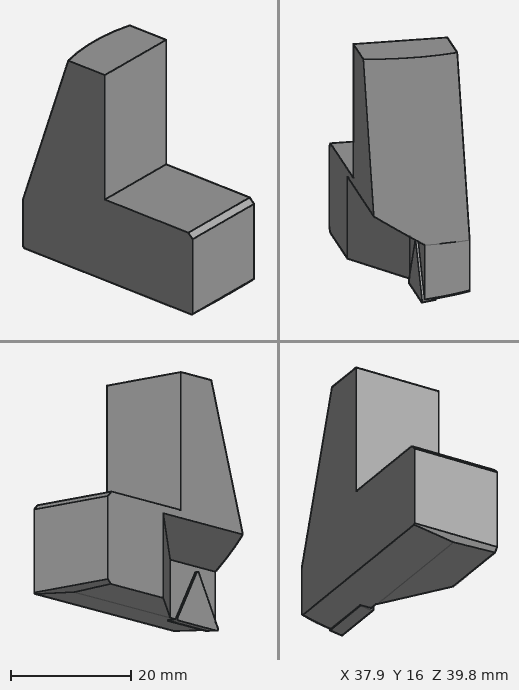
import cadquery as cq
import math

length = 37.85
depth = 16.0
height = 39.8
mid_y = depth / 2
post_back_x = 18.85
foot_top_z = 16.25
end_chamfer = 0.9

nose_x = 0.15
nose_bow = 1.0
bend_z = 10.15
lean_run = 9.8

ridge_z = 0.25
front_bottom_z = 0.95
rear_bottom_z = 0.45
corner_chamfer = 0.3

corner_spacing = 9.9
corner_radius = 0.3
insert_thickness = 2.4
insert_draft = 7.0
insert_rear_y = 8.35

gullet_floor_y = 7.92
gullet_floor_length = 11.95
gullet_wall_angle = 35.0
gullet_roof_rear_z = 14.9

clearance = 2.0


def make_side_block():
    """L-shaped block with the two chamfers on its far end."""
    outline = [
        (-clearance, ridge_z),
        (length - end_chamfer, ridge_z),
        (length, ridge_z + end_chamfer),
        (length, foot_top_z - end_chamfer),
        (length - end_chamfer, foot_top_z),
        (post_back_x, foot_top_z),
        (post_back_x, height),
        (-clearance, height),
    ]
    return cq.Workplane("XZ").polyline(outline).close().extrude(-depth)


def make_nose_outline(crest_x, level_z):
    """Plan outline with a bowed nose edge, symmetrical about mid depth."""
    return (
        cq.Workplane("XY", origin=(0, 0, level_z))
        .moveTo(crest_x + nose_bow, 0)
        .threePointArc((crest_x, mid_y), (crest_x + nose_bow, depth))
        .lineTo(2 * length, depth)
        .lineTo(2 * length, 0)
        .close()
    )


def make_leaning_envelope():
    """Prism with a bowed nose face, sheared so that the face leans back."""
    slope = lean_run / (height - bend_z)
    outline = make_nose_outline(nose_x + lean_run, height)
    sweep = cq.Vector(-slope * height, 0, -height)
    return cq.Workplane(cq.Solid.extrudeLinear(outline.wires().val(), [], sweep))


def make_vertical_envelope():
    """Upright prism with a bowed nose face."""
    return make_nose_outline(nose_x, 0).extrude(height)


def make_underside_envelope():
    """Prism whose underside rises from the ridge to the front and rear."""
    outline = [
        (0, front_bottom_z),
        (mid_y, ridge_z),
        (depth, rear_bottom_z),
        (depth, height),
        (0, height),
    ]
    return cq.Workplane("YZ").polyline(outline).close().extrude(length)


def make_insert():
    """Triangular insert, largest on its rear face."""
    corner_height = corner_spacing * math.sqrt(3) / 2
    corner_centres = [
        (corner_radius, corner_radius),
        (corner_radius + corner_spacing, corner_radius),
        (corner_radius + corner_spacing / 2, corner_radius + corner_height),
    ]
    centres = cq.Workplane("XZ", origin=(0, insert_rear_y, 0)).polyline(corner_centres).close()
    return centres.offset2D(corner_radius).extrude(insert_thickness, taper=insert_draft)


def make_gullet():
    """Space that is open to the nose, rear and underside and exposes the back of the insert."""
    gullet_depth = depth - gullet_floor_y
    wall_run = gullet_depth / math.tan(math.radians(gullet_wall_angle))
    plan = [
        (-clearance, gullet_floor_y),
        (gullet_floor_length, gullet_floor_y),
        (gullet_floor_length + wall_run, depth),
        (-clearance, depth),
    ]
    profile = [
        (gullet_floor_y, 0),
        (gullet_floor_y, bend_z),
        (depth, gullet_roof_rear_z),
        (depth, 0),
    ]
    walls = cq.Workplane("XY").polyline(plan).close().extrude(height)
    roof = cq.Workplane("YZ", origin=(-clearance, 0, 0)).polyline(profile).close().extrude(length)
    return walls.intersect(roof)


def make_holder(insert):
    """Holder block with its reliefs, gullet and insert seat."""
    block = make_side_block().intersect(make_leaning_envelope())
    block = block.intersect(make_vertical_envelope()).intersect(make_underside_envelope())
    block = block.cut(make_gullet())
    front_corner = (nose_x + nose_bow / 4, mid_y / 2, (ridge_z + front_bottom_z) / 2)
    block = block.edges(cq.selectors.NearestToPointSelector(front_corner)).chamfer(corner_chamfer)
    return block.cut(insert)


insert = make_insert()
holder = make_holder(insert)
result = cq.Compound.makeCompound([holder.val(), insert.val()])